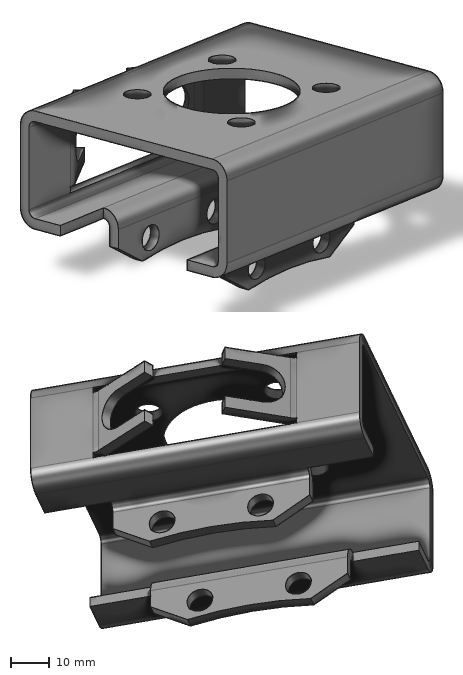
import cadquery as cq
import math

SHEET = 2.9
BEND_INNER = 2.0
BEND_OUTER = BEND_INNER + SHEET
BOX_WIDTH = 70.1
BOX_LENGTH = 90.0
BOX_HEIGHT = 32.9
TURN = 31.0

BORE_DIAMETER = 36.0
TOP_HOLE_DIAMETER = 7.2
TOP_HOLE_SPACING = 35.3

FLANGE_GAP = 33.0
FLANGE_LENGTH = 53.9
TOTAL_HEIGHT = 46.5
FLANGE_SHOULDER_DROP = 7.4
FLANGE_TIP_SPACING = 33.7
FLANGE_ARCH_RISE = 1.4
FLANGE_HOLE_DIAMETER = 7.0
FLANGE_HOLE_SPACING = 26.9
FLANGE_HOLE_LIFT = 5.7

WINDOW_LENGTH = 55.7
TAB_HEIGHT = 19.7
TAB_STRAIGHT = 17.9
TAB_BEND = 2.9
TAB_ANGLE = 31.0
FORK_WIDTH = 12.2
FORK_DEPTH = 16.4

flange_drop = TOTAL_HEIGHT - BOX_HEIGHT
wall_x = -BOX_WIDTH / 2
mid_z = BOX_HEIGHT / 2
lip_x = FLANGE_GAP / 2 + BEND_OUTER


def make_box():
    """Rounded tube along Y, open between the two bottom lips."""
    outer = cq.Workplane("XY").box(BOX_WIDTH, BOX_LENGTH, BOX_HEIGHT).edges("|Y").fillet(BEND_OUTER)
    inner = (
        cq.Workplane("XY")
        .box(BOX_WIDTH - 2 * SHEET, BOX_LENGTH, BOX_HEIGHT - 2 * SHEET)
        .edges("|Y")
        .fillet(BEND_INNER)
    )
    tube = outer.cut(inner).translate((0, 0, mid_z))
    opening = cq.Workplane("XY").box(2 * lip_x, BOX_LENGTH, 2 * SHEET)
    return tube.cut(opening)


def make_flange():
    """Flange on the +X lip: a quarter bend and a hanging plate with sloped corners."""
    gap_x = FLANGE_GAP / 2
    diagonal = math.sqrt(0.5)
    bend_z = SHEET - BEND_OUTER
    section = (
        cq.Workplane("XZ")
        .moveTo(lip_x, SHEET)
        .threePointArc((lip_x - BEND_OUTER * diagonal, bend_z + BEND_OUTER * diagonal), (gap_x, bend_z))
        .lineTo(gap_x, -flange_drop)
        .lineTo(gap_x + SHEET, -flange_drop)
        .lineTo(gap_x + SHEET, bend_z)
        .threePointArc((lip_x - BEND_INNER * diagonal, bend_z + BEND_INNER * diagonal), (lip_x, 0))
        .close()
        .extrude(FLANGE_LENGTH / 2, both=True)
    )
    half = FLANGE_LENGTH / 2
    tip = FLANGE_TIP_SPACING / 2
    outline = (
        cq.Workplane("YZ")
        .moveTo(-half, SHEET)
        .lineTo(-half, -FLANGE_SHOULDER_DROP)
        .lineTo(-tip, -flange_drop)
        .threePointArc((0, FLANGE_ARCH_RISE - flange_drop), (tip, -flange_drop))
        .lineTo(half, -FLANGE_SHOULDER_DROP)
        .lineTo(half, SHEET)
        .close()
        .extrude(BOX_WIDTH / 2)
    )
    holes = (
        cq.Workplane("YZ")
        .pushPoints([(side * FLANGE_HOLE_SPACING / 2, FLANGE_HOLE_LIFT - flange_drop) for side in (-1, 1)])
        .circle(FLANGE_HOLE_DIAMETER / 2)
        .extrude(BOX_WIDTH / 2)
    )
    return section.intersect(outline).cut(holes)


def make_tab():
    """Forked tab at the +Y end of the window, bent outward."""
    angle = math.radians(TAB_ANGLE)
    start_y = WINDOW_LENGTH / 2
    centre_x = wall_x - TAB_BEND

    def bend_point(radius, turn, run=0.0):
        """Point on the bend after the given turn, then a straight run along the tangent."""
        return (
            centre_x + radius * math.cos(turn) - run * math.sin(turn),
            start_y - radius * math.sin(turn) - run * math.cos(turn),
        )

    near = TAB_BEND
    far = TAB_BEND + SHEET
    blank = (
        cq.Workplane("XY", origin=(0, 0, mid_z))
        .moveTo(*bend_point(near, 0))
        .threePointArc(bend_point(near, angle / 2), bend_point(near, angle))
        .lineTo(*bend_point(near, angle, TAB_STRAIGHT))
        .lineTo(*bend_point(far, angle, TAB_STRAIGHT))
        .lineTo(*bend_point(far, angle))
        .threePointArc(bend_point(far, angle / 2), bend_point(far, 0))
        .close()
        .extrude(TAB_HEIGHT / 2, both=True)
    )
    tip_x, tip_y = bend_point(near, angle, TAB_STRAIGHT)
    tab_plane = cq.Plane(
        origin=(tip_x, tip_y, mid_z),
        xDir=(math.sin(angle), math.cos(angle), 0),
        normal=(math.cos(angle), -math.sin(angle), 0),
    )
    half_fork = FORK_WIDTH / 2
    fork = (
        cq.Workplane(tab_plane)
        .moveTo(0, -half_fork)
        .lineTo(FORK_DEPTH - half_fork, -half_fork)
        .threePointArc((FORK_DEPTH, 0), (FORK_DEPTH - half_fork, half_fork))
        .lineTo(0, half_fork)
        .close()
        .extrude(SHEET, both=True)
    )
    return blank.cut(fork)


body = make_box()
bore = cq.Workplane("XY", origin=(0, 0, mid_z)).circle(BORE_DIAMETER / 2).extrude(BOX_HEIGHT)
top_holes = (
    cq.Workplane("XY", origin=(0, 0, mid_z))
    .rect(TOP_HOLE_SPACING, TOP_HOLE_SPACING, forConstruction=True)
    .vertices()
    .circle(TOP_HOLE_DIAMETER / 2)
    .extrude(BOX_HEIGHT)
)
body = body.cut(bore).cut(top_holes)

window = (
    cq.Workplane("XY")
    .box(2 * BEND_OUTER, WINDOW_LENGTH, BOX_HEIGHT - 2 * BEND_OUTER)
    .translate((wall_x, 0, mid_z))
)
body = body.cut(window)

flange = make_flange()
tab = make_tab()
body = body.union(flange).union(flange.mirror("YZ"))
body = body.union(tab).union(tab.mirror("XZ"))

result = body.rotate((0, 0, 0), (0, 0, 1), TURN)